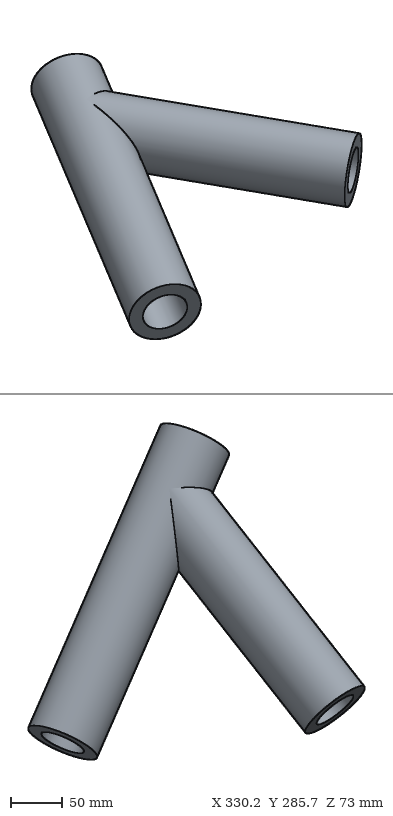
import cadquery as cq
import math

outer_diameter = 73.025
bore_diameter = 44.98
run_length = 330.2
branch_offset = 63.5
branch_length = 266.7
branch_angle = 60.0

run_start = cq.Vector(0, 0, 0)
run_direction = cq.Vector(1, 0, 0)
branch_start = cq.Vector(branch_offset, 0, 0)
branch_direction = cq.Vector(
    math.cos(math.radians(branch_angle)),
    math.sin(math.radians(branch_angle)),
    0,
)


def run_cylinder(diameter):
    """Full-length cylinder on the axis of the straight run."""
    return cq.Workplane(cq.Solid.makeCylinder(diameter / 2, run_length, run_start, run_direction))


def branch_cylinder(diameter):
    """Cylinder on the axis of the slanted branch, starting on the run axis."""
    return cq.Workplane(
        cq.Solid.makeCylinder(diameter / 2, branch_length, branch_start, branch_direction)
    )


def pipe_network(diameter):
    """Run and branch of one diameter joined into a single Y-shaped solid."""
    return run_cylinder(diameter).union(branch_cylinder(diameter))


result = pipe_network(outer_diameter).cut(pipe_network(bore_diameter))